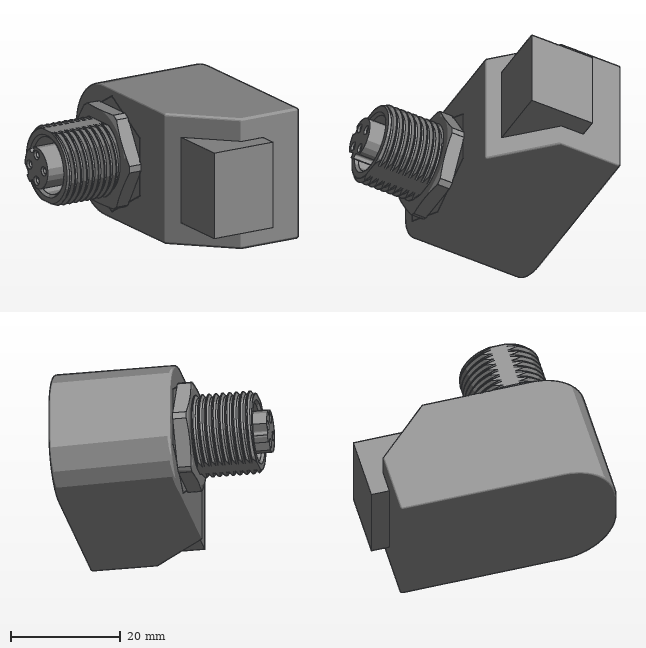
import cadquery as cq
import math


BODY_LENGTH = 41.0
BODY_DEPTH = 22.7
BODY_HEIGHT = 25.0
BODY_LEFT = -12.6
BODY_RIGHT = BODY_LEFT + BODY_LENGTH
BODY_CORNER_RADIUS = 10.0
BODY_BEVEL = 10.2
BODY_EDGE_RADIUS = 0.5

OVERALL_LENGTH = 44.4
BLOCK_RIGHT = BODY_LEFT + OVERALL_LENGTH
BLOCK_FRONT = 2.15
BLOCK_DEPTH = 12.65
BLOCK_HEIGHT = 16.4
BLOCK_LENGTH = 18.6

GROOVE_ACROSS_FLATS = 19.1
GROOVE_WIDTH = 0.1
GROOVE_DEPTH = 0.5
GROOVE_ANGLE = 30.0

NUT_ACROSS_FLATS = 18.0
NUT_CORNER_DIAMETER = 20.1
NUT_FACE_DIAMETER = 17.9
NUT_THICKNESS = 2.8
NUT_BEVEL_HEIGHT = 0.3

SLEEVE_LENGTH = 14.1
THREAD_MAJOR_DIAMETER = 15.2
THREAD_ROOT_DIAMETER = 14.0
THREAD_PITCH = 1.27
THREAD_CREST_WIDTH = 0.2
THREAD_FLANK_ANGLE = 30.0
THREAD_ROOT_OVERLAP = 0.2
THREAD_START_ANGLE = 45.0
TIP_EXCESS = 3.0
SLEEVE_ACROSS_FLATS = 13.65
BORE_DIAMETER = 10.8
BORE_CHAMFER = 0.5
BORE_DEPTH = SLEEVE_LENGTH - NUT_THICKNESS

CARRIER_DIAMETER = 7.84
CARRIER_OVERHANG = 2.2
CARRIER_LENGTH = BORE_DEPTH + CARRIER_OVERHANG
KEY_ANGLE = 225.0
KEY_FLAT_DISTANCE = 2.9
KEY_WIDTH = 1.4
KEY_ROOT_RADIUS = 0.4
NOTCH_ANGLE = 117.0
NOTCH_FLOOR_DISTANCE = 2.95
NOTCH_FLOOR_RADIUS = 0.75
NOTCH_FLARE_ANGLE = 16.0
NOTCH_MOUTH_MARGIN = 0.1

CONTACT_COUNT = 4
CONTACT_CIRCLE_RADIUS = 2.47
CONTACT_DIAMETER = 1.1
CONTACT_MOUTH_DIAMETER = 1.75
CONTACT_DEPTH = 5.0

CUT_MARGIN = 1.0


def front_plane(y):
    """Plane facing -Y at the given Y, with local x along X and local y along Z."""
    return cq.Workplane("XZ", origin=(0, y, 0))


def revolve_about_axis(profile):
    """Revolve (radius, Y) points about the connector axis."""
    return cq.Workplane("XY").polyline(profile).close().revolve(360, (0, 0, 0), (0, 1, 0))


def turn(shape, angle):
    """Turn a shape about the connector axis, counted from +X toward +Z."""
    return shape.rotate((0, 0, 0), (0, 1, 0), -angle)


def make_housing():
    """Housing with a round-cornered left end, a bevelled front right corner and rounded edges."""
    outline = [
        (BODY_LEFT, 0),
        (BODY_RIGHT - BODY_BEVEL, 0),
        (BODY_RIGHT, BODY_BEVEL),
        (BODY_RIGHT, BODY_DEPTH),
        (BODY_LEFT, BODY_DEPTH),
    ]
    housing = cq.Workplane("XY").polyline(outline).close().extrude(BODY_HEIGHT / 2, both=True)
    housing = housing.edges("<X and |Y").fillet(BODY_CORNER_RADIUS)
    rounded_edges = housing.edges("not |Y").add(housing.edges(">X and |Y"))
    return rounded_edges.fillet(BODY_EDGE_RADIUS)


def make_block():
    """Block with its left end buried in the housing."""
    center = (BLOCK_RIGHT - BLOCK_LENGTH / 2, BLOCK_FRONT + BLOCK_DEPTH / 2, 0)
    return cq.Workplane("XY").box(BLOCK_LENGTH, BLOCK_DEPTH, BLOCK_HEIGHT).translate(center)


def make_hexagon(across_flats, back, length):
    """Hexagonal prism with flats at the top and bottom, reaching toward -Y from the given Y."""
    across_corners = across_flats / math.cos(math.pi / 6)
    return front_plane(back).polygon(6, across_corners).extrude(length)


def make_groove():
    """Hexagonal ring with corners at the top and bottom."""
    inner = make_hexagon(GROOVE_ACROSS_FLATS, GROOVE_DEPTH, GROOVE_DEPTH)
    outer = make_hexagon(GROOVE_ACROSS_FLATS + 2 * GROOVE_WIDTH, GROOVE_DEPTH, GROOVE_DEPTH)
    return turn(outer.cut(inner), GROOVE_ANGLE)


def make_nut():
    """Nut standing on the housing, with rounded corners and a bevelled front."""
    hexagon = make_hexagon(NUT_ACROSS_FLATS, 0, NUT_THICKNESS)
    corner_radius = NUT_CORNER_DIAMETER / 2
    envelope_profile = [
        (0, 0),
        (corner_radius, 0),
        (corner_radius, NUT_BEVEL_HEIGHT - NUT_THICKNESS),
        (NUT_FACE_DIAMETER / 2, -NUT_THICKNESS),
        (0, -NUT_THICKNESS),
    ]
    return hexagon.intersect(revolve_about_axis(envelope_profile))


def make_thread_ridge():
    """Helical ridge about the connector axis, from inside the nut to beyond the sleeve tip."""
    inner_radius = THREAD_ROOT_DIAMETER / 2 - THREAD_ROOT_OVERLAP
    crest_radius = THREAD_MAJOR_DIAMETER / 2
    crest_half = THREAD_CREST_WIDTH / 2
    base_half = crest_half + (crest_radius - inner_radius) * math.tan(math.radians(THREAD_FLANK_ANGLE))
    helix = cq.Wire.makeHelix(THREAD_PITCH, SLEEVE_LENGTH, inner_radius)
    ridge = (
        cq.Workplane("XZ")
        .moveTo(inner_radius, -base_half)
        .lineTo(crest_radius, -crest_half)
        .lineTo(crest_radius, crest_half)
        .lineTo(inner_radius, base_half)
        .close()
        .sweep(cq.Workplane(obj=helix), isFrenet=True)
    )
    start = THREAD_PITCH * (1 + THREAD_START_ANGLE / 360)
    ridge = ridge.translate((0, 0, start)).rotate((0, 0, 0), (1, 0, 0), 90)
    return turn(ridge, THREAD_START_ANGLE)


def make_tip_trim():
    """Everything beyond the sleeve tip and its 45 degree outer bevel."""
    root_radius = THREAD_ROOT_DIAMETER / 2
    outer_radius = THREAD_MAJOR_DIAMETER / 2 + CUT_MARGIN
    profile = [
        (0, -SLEEVE_LENGTH),
        (root_radius, -SLEEVE_LENGTH),
        (outer_radius, outer_radius - root_radius - SLEEVE_LENGTH),
        (outer_radius, -SLEEVE_LENGTH - TIP_EXCESS),
        (0, -SLEEVE_LENGTH - TIP_EXCESS),
    ]
    return revolve_about_axis(profile)


def make_flat_trim(side):
    """Slab that leaves one flat on the sleeve: above it for side = 1, below it for side = -1."""
    slab_height = THREAD_MAJOR_DIAMETER / 2
    return (
        front_plane(CUT_MARGIN)
        .center(0, side * (SLEEVE_ACROSS_FLATS + slab_height) / 2)
        .rect(2 * THREAD_MAJOR_DIAMETER, slab_height)
        .extrude(SLEEVE_LENGTH + 2 * CUT_MARGIN)
    )


def make_sleeve():
    """Threaded sleeve with two flats.  The thread faces are kept as swept, one per turn."""
    core = front_plane(0).circle(THREAD_ROOT_DIAMETER / 2).extrude(SLEEVE_LENGTH + TIP_EXCESS)
    sleeve = core.union(make_thread_ridge(), clean=False).cut(make_tip_trim(), clean=False)
    for side in (1, -1):
        sleeve = sleeve.cut(make_flat_trim(side), clean=False)
    return sleeve


def make_bore():
    """Sleeve bore with a chamfered mouth."""
    bore_radius = BORE_DIAMETER / 2
    profile = [
        (0, BORE_DEPTH - SLEEVE_LENGTH),
        (bore_radius, BORE_DEPTH - SLEEVE_LENGTH),
        (bore_radius, BORE_CHAMFER - SLEEVE_LENGTH),
        (bore_radius + BORE_CHAMFER, -SLEEVE_LENGTH),
        (0, -SLEEVE_LENGTH),
    ]
    return revolve_about_axis(profile)


def make_key_cut():
    """Flat on the local +x side of the carrier that leaves a central key standing."""
    reach = CARRIER_DIAMETER
    base = front_plane(0).center(KEY_FLAT_DISTANCE + reach / 2, 0)
    slab = base.rect(reach, 2 * CARRIER_DIAMETER).extrude(CARRIER_LENGTH)
    key = base.rect(reach, KEY_WIDTH).extrude(CARRIER_LENGTH)
    root_edges = cq.selectors.BoxSelector(
        (KEY_FLAT_DISTANCE - KEY_ROOT_RADIUS, -CARRIER_LENGTH, -KEY_WIDTH),
        (KEY_FLAT_DISTANCE + KEY_ROOT_RADIUS, 0, KEY_WIDTH),
    )
    return slab.cut(key).edges("|Y").edges(root_edges).fillet(KEY_ROOT_RADIUS)


def make_notch_cut():
    """Groove on the local +x side of the carrier: a round floor running into flared walls."""
    flare = math.radians(NOTCH_FLARE_ANGLE)
    floor_end = NOTCH_FLOOR_DISTANCE + NOTCH_FLOOR_RADIUS * (1 - math.sin(flare))
    floor_half = NOTCH_FLOOR_RADIUS * math.cos(flare)
    mouth = CARRIER_DIAMETER / 2 + NOTCH_MOUTH_MARGIN
    mouth_half = floor_half + (mouth - floor_end) * math.tan(flare)
    return (
        front_plane(0)
        .moveTo(mouth, -mouth_half)
        .lineTo(floor_end, -floor_half)
        .threePointArc((NOTCH_FLOOR_DISTANCE, 0), (floor_end, floor_half))
        .lineTo(mouth, mouth_half)
        .close()
        .extrude(CARRIER_LENGTH)
    )


def make_contact_hole():
    """Blind hole with a 45 degree countersink, placed on the +X side of the contact circle."""
    radius = CONTACT_DIAMETER / 2
    mouth_radius = CONTACT_MOUTH_DIAMETER / 2
    profile = [
        (0, CONTACT_DEPTH - CARRIER_LENGTH),
        (radius, CONTACT_DEPTH - CARRIER_LENGTH),
        (radius, mouth_radius - radius - CARRIER_LENGTH),
        (mouth_radius, -CARRIER_LENGTH),
        (0, -CARRIER_LENGTH),
    ]
    return revolve_about_axis(profile).translate((CONTACT_CIRCLE_RADIUS, 0, 0))


def make_carrier():
    """Contact carrier standing on the bore floor."""
    carrier = front_plane(0).circle(CARRIER_DIAMETER / 2).extrude(CARRIER_LENGTH)
    carrier = carrier.cut(turn(make_key_cut(), KEY_ANGLE))
    carrier = carrier.cut(turn(make_notch_cut(), NOTCH_ANGLE))
    for index in range(CONTACT_COUNT):
        carrier = carrier.cut(turn(make_contact_hole(), index * 360 / CONTACT_COUNT))
    return carrier.translate((0, BORE_DEPTH - SLEEVE_LENGTH, 0))


housing = make_housing().union(make_block()).cut(make_groove())
connector = make_sleeve().union(make_nut(), clean=False).cut(make_bore(), clean=False)
connector = connector.union(make_carrier(), clean=False)
result = housing.union(connector, clean=False)